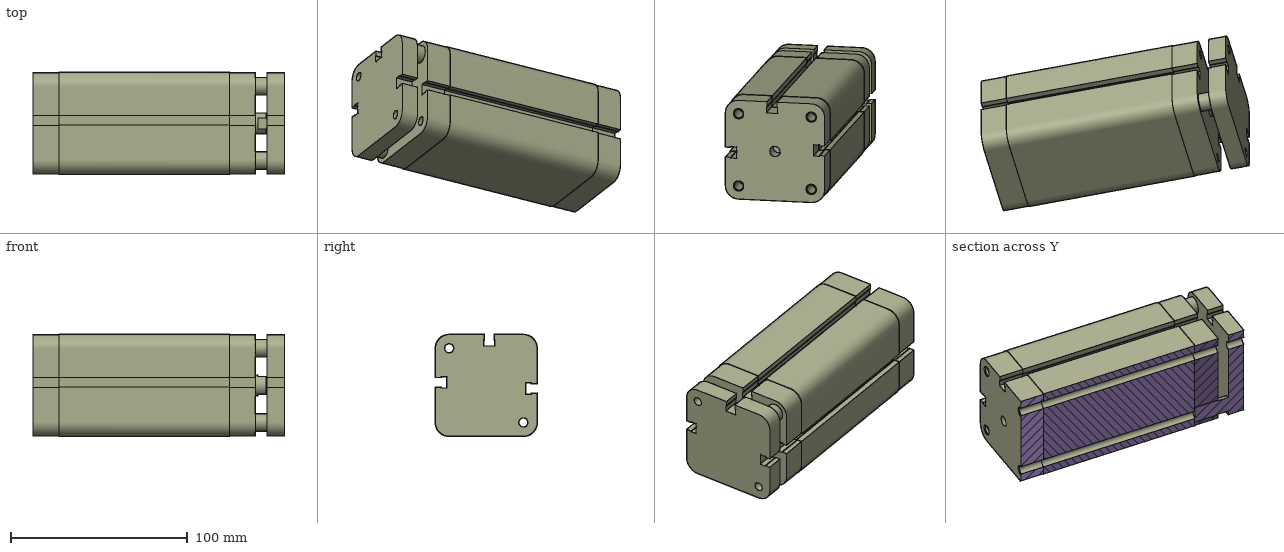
import cadquery as cq


total_length = 142.5
cap_length = 14.7
yoke_thickness = 10.0
yoke_gap = 6.5
yoke_x = total_length - yoke_thickness
front_cap_x = yoke_x - yoke_gap - cap_length
barrel_x = cap_length
barrel_length = front_cap_x - barrel_x
rod_length = cap_length + yoke_gap

barrel_width = 58.0
cap_inset = 0.24
corner_radius = 8.0

slot_offset = 1.7
slot_mouth_width = 5.3
slot_floor_width = 6.1
slot_mouth_depth = 3.5
slot_depth = 6.5
slot_angles = (-90, 0, 90)

corner_pitch = 42.0
corner_hole_diameter = 5.0
corner_hole_chamfer = 0.5
guide_diameter = 10.1
corner_spots = [(y * corner_pitch / 2, z * corner_pitch / 2) for y in (-1, 1) for z in (-1, 1)]
guide_spots = [(y, z) for y, z in corner_spots if y * z > 0]
yoke_hole_spots = [(y, z) for y, z in corner_spots if y * z < 0]

rod_diameter = 12.0
rod_chamfer = 0.5
flat_width = 10.1
flat_length = 5.1

centre_hole_diameter = 6.0
centre_hole_depth = 10.0


def section_plane(x):
    """Plane across the cylinder at x, with local axes along Y and Z."""
    return cq.Workplane("YZ", origin=(x, 0, 0))


def slot_bar(x, length, width, bottom_z, top_z):
    """Rectangular bar along X, centred across the slot, between two heights."""
    outline = section_plane(x).center(slot_offset, (bottom_z + top_z) / 2).rect(width, top_z - bottom_z)
    return outline.extrude(length)


def slot_cutter(x, length, inset):
    """T-slot in the top side, wider and deeper than the barrel's by the inset on every wall."""
    floor_z = barrel_width / 2 - slot_depth - inset
    ledge_z = barrel_width / 2 - slot_mouth_depth + inset
    mouth = slot_bar(x, length, slot_mouth_width + 2 * inset, floor_z, barrel_width / 2)
    wide_part = slot_bar(x, length, slot_floor_width + 2 * inset, floor_z, ledge_z)
    return mouth.union(wide_part)


def slotted_block(x, length, inset=0):
    """Square block with rounded long edges and T-slots, its whole outline set in from the barrel's."""
    width = barrel_width - 2 * inset
    block = section_plane(x).rect(width, width).extrude(length).edges("|X").fillet(corner_radius - inset)
    cutter = slot_cutter(x, length, inset)
    for angle in slot_angles:
        block = block.cut(cutter.rotate((0, 0, 0), (1, 0, 0), angle))
    return block


def cylinders(x, length, spots, diameter):
    """Round bars along X, one at each (y, z) spot."""
    return section_plane(x).pushPoints(spots).circle(diameter / 2).extrude(length)


def make_rear_cap():
    cap = slotted_block(0, cap_length, cap_inset)
    cap = cap.cut(cylinders(0, cap_length, corner_spots, corner_hole_diameter))
    rim_radius = corner_hole_diameter / 2 + corner_hole_chamfer
    rims = section_plane(0).pushPoints(corner_spots).circle(rim_radius)
    cap = cap.cut(rims.extrude(corner_hole_chamfer, taper=45))
    return cap.cut(cylinders(0, centre_hole_depth, [(0, 0)], centre_hole_diameter))


def make_barrel():
    barrel = slotted_block(barrel_x, barrel_length)
    return barrel.cut(cylinders(barrel_x, barrel_length, corner_spots, corner_hole_diameter))


def make_front_cap():
    cap = slotted_block(front_cap_x, cap_length, cap_inset)
    cap = cap.cut(cylinders(front_cap_x, cap_length, yoke_hole_spots, corner_hole_diameter))
    cap = cap.cut(cylinders(front_cap_x, cap_length, guide_spots, guide_diameter))
    return cap.cut(cylinders(front_cap_x, cap_length, [(0, 0)], rod_diameter))


def make_yoke():
    yoke = slotted_block(yoke_x, yoke_thickness, cap_inset)
    yoke = yoke.cut(cylinders(yoke_x, yoke_thickness, yoke_hole_spots, corner_hole_diameter))
    return yoke.union(cylinders(front_cap_x, rod_length, guide_spots, guide_diameter))


def make_piston_rod():
    rod = cylinders(front_cap_x, rod_length, [(0, 0)], rod_diameter)
    rod = rod.faces(">X").chamfer(rod_chamfer)
    flat_x = yoke_x - flat_length
    band = section_plane(flat_x).rect(rod_diameter, rod_diameter).rect(rod_diameter, flat_width)
    return rod.cut(band.extrude(flat_length))


rear_cap = make_rear_cap()
barrel = make_barrel()
front_cap = make_front_cap()
piston_rod = make_piston_rod()
yoke = make_yoke()

result = cq.Compound.makeCompound(
    [rear_cap.val(), barrel.val(), front_cap.val(), piston_rod.val(), yoke.val()]
)